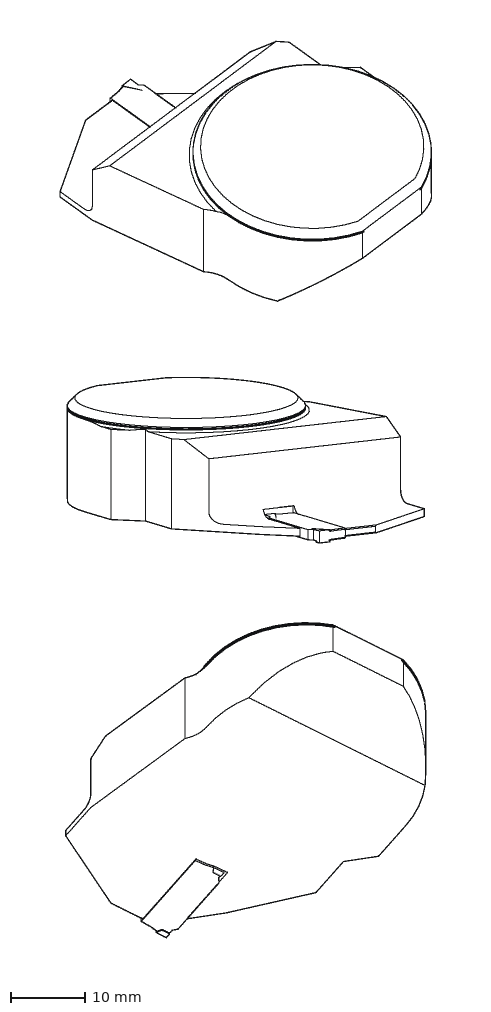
import cadquery as cq
import math

RIM_RADIUS = 16.05
FLAT_X = 15.0
TOP_Z = 14.0
CAP_CHAMFER = 1.05
RIM_GROOVE_DEPTH = 0.1
RIM_GROOVE_HEIGHT = 0.15
SHOULDER_Z = 12.65
SKIRT_WIDTH = 0.5

BLOCK_TOP = 12.35
WALL_X = -20.8
WALL_BEVEL_X = 2.7
WALL_BEVEL_Z = 2.4
PLATE_TOP = 1.1
PLATE_LEFT = -33.65
PLATE_EDGE_CHAMFER = 0.15
WALL_FILLET = 1.65
FRONT_Y = -21.0
PLATE_FRONT_X = -26.85
PLATE_CORNER_Y = -9.1
NECK_X = -3.45
NECK_Y = -17.3
BACK_Y = 12.65
BACK_LEFT_X = -16.75
BEND_X = -26.45
BEND_Y = 4.6
EAR_X = -RIM_RADIUS * (math.sqrt(2) - 1)
UNDERCUT_Z = 7.6

INSERT_LEFT = FLAT_X - 49.35
INSERT_LENGTH = 14.05
INSERT_MID_X = INSERT_LEFT + INSERT_LENGTH / 2
INSERT_FRONT = -4.15
INSERT_BACK = 0.75
INSERT_BOTTOM = -0.175
INSERT_TOP = 1.25
TIP_BOTTOM = -0.35
TIP_TOP = 1.35
TIP_BACK = 0.2
TIP_WIDTH = 0.85
TIP_STEP_X = 1.45
TIP_STEP_END_X = 2.0
TIP_LAND_X = 2.45
TIP_LAND_Y = -0.15
END_BEND_Y = -1.5
END_BEND_INSET = 0.05
END_RELIEF_Y = -2.45
END_RELIEF_INSET = 0.25
END_TAPER = 0.35
END_CHAMFER = 0.15
POCKET_TOP = 2.15

INSERT_END = [
    (INSERT_LEFT, TIP_BACK),
    (INSERT_LEFT + END_BEND_INSET, END_BEND_Y),
    (INSERT_LEFT + END_RELIEF_INSET, END_RELIEF_Y),
    (INSERT_LEFT + END_TAPER, INSERT_FRONT),
]


def footprint():
    """Outline shared by the block and the plate, up to the rounded end."""
    neck_drop = -RIM_RADIUS - NECK_Y
    neck_radius = (NECK_X**2 + neck_drop**2) / (2 * neck_drop)
    half_angle = math.asin(-NECK_X / neck_radius) / 2
    neck_mid = (
        -neck_radius * math.sin(half_angle),
        -RIM_RADIUS - neck_radius * (1 - math.cos(half_angle)),
    )
    return (
        cq.Workplane("XY")
        .moveTo(PLATE_FRONT_X, FRONT_Y)
        .lineTo(WALL_X, FRONT_Y)
        .lineTo(NECK_X, NECK_Y)
        .threePointArc(neck_mid, (0, -RIM_RADIUS))
        .threePointArc((RIM_RADIUS, 0), (0, RIM_RADIUS))
        .lineTo(EAR_X, RIM_RADIUS)
        .lineTo(EAR_X - (RIM_RADIUS - BACK_Y), BACK_Y)
        .lineTo(BACK_LEFT_X, BACK_Y)
        .lineTo(BEND_X, BEND_Y)
        .lineTo(PLATE_LEFT, BEND_Y + PLATE_LEFT - BEND_X)
        .lineTo(PLATE_LEFT, PLATE_CORNER_Y)
        .close()
    )


def block_and_plate():
    """Footprint trimmed by the side profile of plate, fillet, wall and bevel."""
    arc_shift = WALL_FILLET * math.sqrt(0.5)
    arc_mid = (
        WALL_X - WALL_FILLET + arc_shift,
        PLATE_TOP + WALL_FILLET - arc_shift,
    )
    side_profile = (
        cq.Workplane("XZ")
        .moveTo(PLATE_LEFT + PLATE_EDGE_CHAMFER, 0)
        .lineTo(RIM_RADIUS, 0)
        .lineTo(RIM_RADIUS, BLOCK_TOP)
        .lineTo(WALL_X + WALL_BEVEL_X, BLOCK_TOP)
        .lineTo(WALL_X, BLOCK_TOP - WALL_BEVEL_Z)
        .lineTo(WALL_X, PLATE_TOP + WALL_FILLET)
        .threePointArc(arc_mid, (WALL_X - WALL_FILLET, PLATE_TOP))
        .lineTo(PLATE_LEFT + PLATE_EDGE_CHAMFER, PLATE_TOP)
        .lineTo(PLATE_LEFT, PLATE_TOP - PLATE_EDGE_CHAMFER)
        .lineTo(PLATE_LEFT, PLATE_EDGE_CHAMFER)
        .close()
        .extrude(-2 * FRONT_Y, both=True)
    )
    return footprint().extrude(BLOCK_TOP).intersect(side_profile)


def round_cap():
    """Round base, narrow groove and chamfered rim, revolved about Z."""
    rim_bottom = SHOULDER_Z + RIM_GROOVE_HEIGHT
    groove_radius = RIM_RADIUS - RIM_GROOVE_DEPTH
    cap_profile = [
        (0, 0),
        (RIM_RADIUS, 0),
        (RIM_RADIUS, SHOULDER_Z),
        (groove_radius, SHOULDER_Z),
        (groove_radius, rim_bottom),
        (RIM_RADIUS, rim_bottom),
        (RIM_RADIUS, TOP_Z - CAP_CHAMFER),
        (RIM_RADIUS - CAP_CHAMFER, TOP_Z),
        (0, TOP_Z),
    ]
    return cq.Workplane("XZ").polyline(cap_profile).close().revolve(360, (0, 0), (0, 1))


def cap_skirt():
    """Sloped skirt around the cap, kept only above the block."""
    skirt_profile = [
        (0, BLOCK_TOP),
        (RIM_RADIUS + SKIRT_WIDTH, BLOCK_TOP),
        (RIM_RADIUS, SHOULDER_Z),
        (0, SHOULDER_Z),
    ]
    skirt = cq.Workplane("XZ").polyline(skirt_profile).close().revolve(360, (0, 0), (0, 1))
    return skirt.intersect(footprint().extrude(TOP_Z))


def flat_side_cut():
    """Material removed by the flat, its top chamfer and the 45 degree underside."""
    outer_x = 2 * FLAT_X
    profile = [
        (FLAT_X - UNDERCUT_Z, 0),
        (FLAT_X, UNDERCUT_Z),
        (FLAT_X, TOP_Z - CAP_CHAMFER),
        (FLAT_X - CAP_CHAMFER, TOP_Z),
        (outer_x, TOP_Z),
        (outer_x, 0),
    ]
    return cq.Workplane("XZ").polyline(profile).close().extrude(2 * RIM_RADIUS, both=True)


def insert_pocket():
    """Slot through the plate that runs on under the wall and ends in the shape of the insert."""
    end_points = [(2 * INSERT_MID_X - x, y) for x, y in INSERT_END]
    outline = end_points + [
        (INSERT_LEFT, INSERT_FRONT),
        (INSERT_LEFT, INSERT_BACK),
        (INSERT_LEFT + INSERT_LENGTH, INSERT_BACK),
    ]
    return cq.Workplane("XY").polyline(outline).close().extrude(POCKET_TOP)


def make_housing():
    body = block_and_plate().union(round_cap()).union(cap_skirt())
    return body.cut(flat_side_cut()).cut(insert_pocket())


def insert_half():
    """Left half of the insert, with its stepped tip and sloping land."""
    step_x = INSERT_LEFT + TIP_STEP_X
    step_end_x = INSERT_LEFT + TIP_STEP_END_X
    land_x = INSERT_LEFT + TIP_LAND_X
    tip_edge = [
        (INSERT_LEFT, TIP_BACK),
        (step_x, TIP_BACK),
        (step_end_x, INSERT_BACK),
    ]
    body_outline = tip_edge + [
        (INSERT_MID_X, INSERT_BACK),
        (INSERT_MID_X, INSERT_FRONT),
        *reversed(INSERT_END[1:]),
    ]
    land_outline = tip_edge + [
        (land_x, INSERT_BACK),
        (land_x, TIP_LAND_Y),
        INSERT_END[1],
    ]
    land_profile = [
        (INSERT_LEFT, TIP_BOTTOM),
        (INSERT_LEFT + TIP_WIDTH, TIP_BOTTOM),
        (INSERT_LEFT + TIP_WIDTH, INSERT_BOTTOM),
        (land_x, INSERT_BOTTOM),
        (land_x, INSERT_TOP),
        (INSERT_LEFT, TIP_TOP),
    ]
    base = cq.Workplane("XY").workplane(offset=INSERT_BOTTOM)
    body = base.polyline(body_outline).close().extrude(INSERT_TOP - INSERT_BOTTOM)
    relieved_end = cq.selectors.BoxSelector(
        (INSERT_LEFT, INSERT_FRONT, INSERT_BOTTOM - END_CHAMFER),
        (INSERT_LEFT + END_TAPER, END_BEND_Y, INSERT_TOP + END_CHAMFER),
    )
    body = body.edges("#Z").edges(relieved_end).chamfer(END_CHAMFER)
    land = (
        cq.Workplane("XY")
        .workplane(offset=TIP_BOTTOM)
        .polyline(land_outline)
        .close()
        .extrude(TIP_TOP - TIP_BOTTOM)
    )
    land_limit = (
        cq.Workplane("XZ").polyline(land_profile).close().extrude(-2 * INSERT_FRONT, both=True)
    )
    return body.union(land.intersect(land_limit))


def make_insert():
    """Double-ended insert: one half and its mirror image."""
    left_half = insert_half()
    right_half = left_half.mirror("YZ", (INSERT_MID_X, 0, 0))
    return left_half.union(right_half)


housing = make_housing()
cutting_insert = make_insert()
result = cq.Compound.makeCompound([housing.val(), cutting_insert.val()])